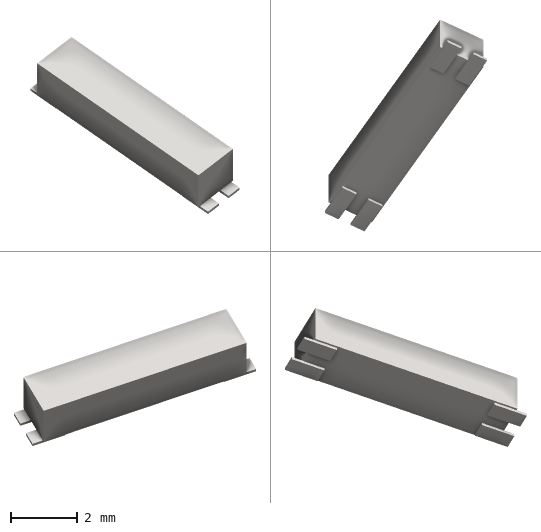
import cadquery as cq

overall_length = 7.38
overall_height = 1.5

terminal_length = 1.08
terminal_width = 0.48
terminal_thickness = 0.1
terminal_pitch = 0.9

body_length = 6.7
body_width = 1.5
body_height = overall_height - terminal_thickness


def make_body():
    """Rectangular block whose underside lies on top of the terminals."""
    return (
        cq.Workplane("XY")
        .workplane(offset=terminal_thickness)
        .rect(body_length, body_width)
        .extrude(body_height)
    )


def make_terminal(center_x, center_y):
    """Flat strip standing on Z = 0, centred at the given place."""
    return (
        cq.Workplane("XY")
        .center(center_x, center_y)
        .rect(terminal_length, terminal_width)
        .extrude(terminal_thickness)
    )


body = make_body()

terminal_center_x = (overall_length - terminal_length) / 2
terminals = []
for x_side in (-1, 1):
    for y_side in (-1, 1):
        terminal = make_terminal(x_side * terminal_center_x, y_side * terminal_pitch / 2)
        terminals.append(terminal.val())

result = cq.Compound.makeCompound([body.val(), *terminals])